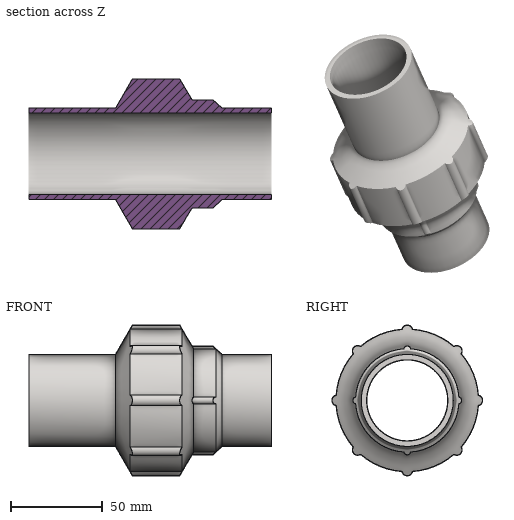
import cadquery as cq

length = 132.0
pipe_radius = 50.0 / 2
bore_radius = 44.0 / 2

nut_start = 55.0
nut_end = 83.3
nut_radius = 38.8
nut_cone_start = 47.1
nut_rib_count = 8
nut_rib_radius = 2.9
nut_rib_tip = 82.0 / 2

collar_start = 89.6
collar_end = 101.6
collar_radius = 28.1
collar_taper_end = 105.1
collar_rib_count = 4
collar_rib_radius = 1.8
collar_rib_tip = 29.6

front_slope = (nut_start - nut_cone_start) / (nut_radius - pipe_radius)
rear_slope = (collar_start - nut_end) / (nut_radius - collar_radius)
taper_slope = (collar_taper_end - collar_end) / (collar_radius - pipe_radius)


def revolve_about_x(points):
    """Revolve an (x, radius) outline about the X axis."""
    return (
        cq.Workplane("XY").polyline(points).close()
        .revolve(360, (0, 0, 0), (1, 0, 0))
    )


def make_ribs(count, radius, tip, start, end):
    """Round bars parallel to X, evenly spaced about the axis."""
    return (
        cq.Workplane("YZ", origin=(start, 0, 0))
        .polarArray(tip - radius, 0, 360, count)
        .circle(radius)
        .extrude(end - start)
    )


body = revolve_about_x([
    (0, 0),
    (0, pipe_radius),
    (nut_cone_start, pipe_radius),
    (nut_start, nut_radius),
    (nut_end, nut_radius),
    (collar_start, collar_radius),
    (collar_end, collar_radius),
    (collar_taper_end, pipe_radius),
    (length, pipe_radius),
    (length, 0),
])

nut_rib_rise = nut_rib_tip - nut_radius
nut_envelope = revolve_about_x([
    (nut_cone_start, 0),
    (nut_cone_start, pipe_radius),
    (nut_start + front_slope * nut_rib_rise, nut_rib_tip),
    (nut_end - rear_slope * nut_rib_rise, nut_rib_tip),
    (collar_start, collar_radius),
    (collar_start, 0),
])
nut_ribs = make_ribs(
    nut_rib_count, nut_rib_radius, nut_rib_tip, nut_cone_start, collar_start
).intersect(nut_envelope)

collar_rib_rise = collar_rib_tip - collar_radius
collar_envelope = revolve_about_x([
    (nut_end, 0),
    (nut_end, collar_rib_tip),
    (collar_end - taper_slope * collar_rib_rise, collar_rib_tip),
    (collar_taper_end, pipe_radius),
    (collar_taper_end, 0),
])
collar_ribs = make_ribs(
    collar_rib_count, collar_rib_radius, collar_rib_tip, nut_end, collar_taper_end
).intersect(collar_envelope)

bore = cq.Workplane("YZ").circle(bore_radius).extrude(length)

result = body.union(nut_ribs).union(collar_ribs).cut(bore)